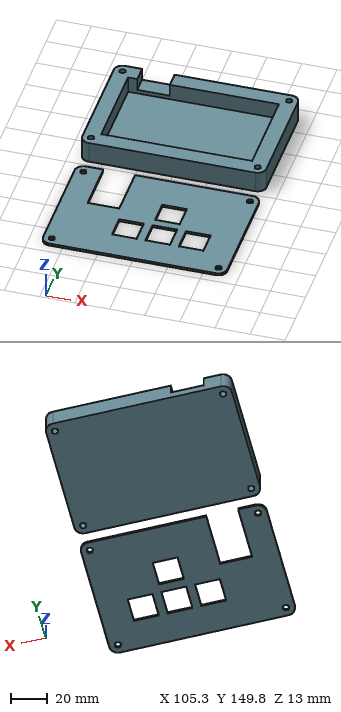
import cadquery as cq

length = 105.0
width = 71.8
corner_radius = 5.0
hole_diameter = 3.4
hole_inset = corner_radius
port_center_x = 24.0

case_height = 13.0
wall = 9.5
floor_thickness = 3.0
port_width = 18.5
port_sill_height = 5.5

plate_thickness = 1.5
plate_shift_x = 0.28
plate_gap = 6.2
window_width = 18.0
window_depth = 31.0

key_size = 14.0
key_pitch = 19.05
key_center_x = 61.7
key_center_y = 24.5
key_steps = [(-1, 0), (0, 0), (1, 0), (0, 1)]


def block(left, front, bottom, size_x, size_y, size_z):
    """Rectangular block placed by its lowest corner."""
    shape = cq.Workplane("XY").box(size_x, size_y, size_z, centered=False)
    return shape.translate((left, front, bottom))


def drilled_slab(height):
    """Slab with rounded vertical edges and a through hole at each corner."""
    slab = block(0, 0, 0, length, width, height).edges("|Z").fillet(corner_radius)
    holes = (
        cq.Workplane("XY")
        .center(length / 2, width / 2)
        .rect(length - 2 * hole_inset, width - 2 * hole_inset, forConstruction=True)
        .vertices()
        .circle(hole_diameter / 2)
        .extrude(height)
    )
    return slab.cut(holes)


def make_case():
    """Open-topped case with a port cut down into its back wall."""
    pocket = block(
        wall,
        wall,
        floor_thickness,
        length - 2 * wall,
        width - 2 * wall,
        case_height - floor_thickness,
    )
    port = block(
        port_center_x - port_width / 2,
        width - wall,
        port_sill_height,
        port_width,
        wall,
        case_height - port_sill_height,
    )
    return drilled_slab(case_height).cut(pocket).cut(port)


def make_plate():
    """Flat plate with a window open at the back edge and four key openings."""
    window = block(
        port_center_x - window_width / 2,
        width - window_depth,
        0,
        window_width,
        window_depth,
        plate_thickness,
    )
    plate = drilled_slab(plate_thickness).cut(window)
    for step_x, step_y in key_steps:
        key_left = key_center_x + step_x * key_pitch - key_size / 2
        key_front = key_center_y + step_y * key_pitch - key_size / 2
        plate = plate.cut(block(key_left, key_front, 0, key_size, key_size, plate_thickness))
    return plate.translate((plate_shift_x, -plate_gap - width, 0))


case = make_case()
plate = make_plate()

result = cq.Compound.makeCompound([case.solids().val(), plate.solids().val()])